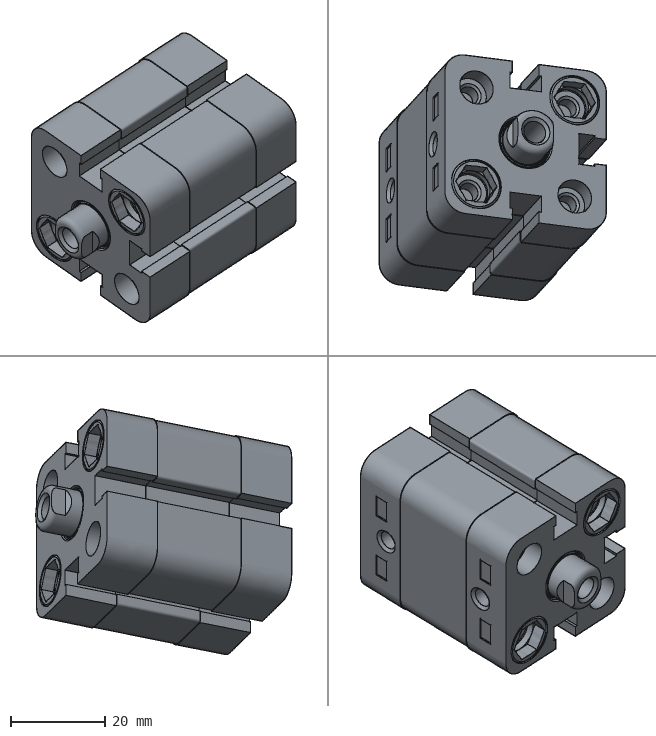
import cadquery as cq
import math

BODY_LENGTH = 43.0
ROD_REACH = 6.6
CAP_LENGTH = 11.75
BARREL_LENGTH = BODY_LENGTH - 2 * CAP_LENGTH
BARREL_END = BODY_LENGTH - CAP_LENGTH

CAP_WIDTH = 36.3
CAP_CORNER = 4.55
CAP_DRAFT = 0.25
BARREL_WIDTH = 36.0
BARREL_CORNER = 4.5

CAP_SLOT_FLOOR = 11.9
BARREL_SLOT_FLOOR = 12.05
SLOT_SHOULDER = 15.5
SLOT_WIDTH = 7.0
CAP_MOUTH_WIDTH = 5.9
BARREL_MOUTH_WIDTH = 5.5
BARREL_LIP_ROUND = 0.55
SLOT_ANGLES = (0, 90, 180)

BORE_DIAMETER = 20.0
FRONT_WALL = 5.0
REAR_WALL = 6.0

ROD_DIAMETER = 10.0
ROD_END_ROUND = 1.25
FLAT_WIDTH = 8.0
FLAT_LENGTH = 3.25
ROD_HOLE_DIAMETER = 4.9
ROD_HOLE_MOUTH = 6.3
ROD_HOLE_DEPTH = 10.0
CENTRE_TIP_DIAMETER = 2.9
CENTRE_TIP_HEIGHT = 0.85

OPENING_MOUTH = 12.0
OPENING_DIAMETER = 11.4
OPENING_DEPTH = 1.5
WIPER_DIAMETER = 10.9
WIPER_FACE_DIAMETER = 10.45
WIPER_RECESS = 0.3

SCREW_OFFSET = 11.0
SCREW_RECESS_DIAMETER = 11.1
SCREW_FACE_DIAMETER = 10.25
HEX_ACROSS_FLATS = 8.0
HEX_RELIEF_DIAMETER = 8.15
HEX_DEPTH = 2.8
SOCKET_DIAMETER = 8.0
SOCKET_DEPTH = 4.5
SOCKET_FLOOR_CHAMFER = 0.2
THREAD_DIAMETER = 4.1
THREAD_MOUTH = 5.15
THREAD_DEPTH = 3.95
MOUNT_DIAMETER = 7.5
MOUNT_DEPTH = 4.5

PORT_OFFSET = 7.6
PORT_MOUTH = 5.45
PORT_DIAMETER = 4.1
PORT_FLOOR = 9.85

LABEL_LENGTH = 5.25
LABEL_WIDTH = 3.1
LABEL_OFFSET = 8.05
LABEL_DEPTH = 0.2
LABEL_END_GAP = 6.15


def plane_at(y, x=0, z=0):
    """Workplane across the cylinder axis; a negative extrusion goes towards +Y."""
    return cq.Workplane("XZ", origin=(x, y, z))


def cylinder(diameter, y_start, y_end, x=0, z=0):
    return plane_at(y_start, x, z).circle(diameter / 2).extrude(y_start - y_end)


def frustum(start_diameter, end_diameter, y_start, y_end, x=0, z=0):
    cone = cq.Solid.makeCone(
        start_diameter / 2, end_diameter / 2, y_end - y_start, cq.Vector(x, y_start, z), cq.Vector(0, 1, 0)
    )
    return cq.Workplane(obj=cone)


def countersunk_hole(mouth, diameter, depth, y, x=0, z=0):
    """Blind hole towards +Y with a 45 degree countersink."""
    sink = frustum(mouth, diameter, y, y + (mouth - diameter) / 2, x, z)
    return cylinder(diameter, y, y + depth, x, z).union(sink)


def t_slots(mouth_width, floor, y_start, y_end):
    half_mouth = mouth_width / 2
    half_slot = SLOT_WIDTH / 2
    slot = (
        plane_at(y_start)
        .moveTo(-half_slot, floor)
        .lineTo(half_slot, floor)
        .lineTo(half_slot, SLOT_SHOULDER)
        .lineTo(half_mouth, SLOT_SHOULDER)
        .lineTo(half_mouth, CAP_WIDTH)
        .lineTo(-half_mouth, CAP_WIDTH)
        .lineTo(-half_mouth, SLOT_SHOULDER)
        .lineTo(-half_slot, SLOT_SHOULDER)
        .close()
        .extrude(y_start - y_end)
    )
    slots = slot
    for angle in SLOT_ANGLES[1:]:
        slots = slots.union(slot.rotate((0, 0, 0), (0, 1, 0), angle))
    return slots


def drafted_block(joint_y, direction):
    """Rounded square that is widest at the barrel joint; direction is the way along Y."""
    profile = cq.Sketch().rect(CAP_WIDTH, CAP_WIDTH).vertices().fillet(CAP_CORNER)
    block = plane_at(0).placeSketch(profile).extrude(CAP_LENGTH, taper=CAP_DRAFT)
    if direction > 0:
        block = block.mirror("XZ")
    return block.translate((0, joint_y, 0))


def port(y):
    """Countersunk hole towards +X that just breaks into the bore."""
    face = CAP_WIDTH / 2
    length = face - PORT_FLOOR
    sink_depth = (PORT_MOUTH - PORT_DIAMETER) / 2
    x_axis = cq.Vector(1, 0, 0)
    start = cq.Vector(-face, y, 0)
    hole = cq.Solid.makeCylinder(PORT_DIAMETER / 2, length, start, x_axis)
    sink = cq.Solid.makeCone(PORT_MOUTH / 2, PORT_DIAMETER / 2, sink_depth, start, x_axis)
    return cq.Workplane(obj=hole).union(cq.Workplane(obj=sink))


def label_fields(y):
    fields = cq.Workplane("XY")
    for z in (-LABEL_OFFSET, LABEL_OFFSET):
        field = cq.Workplane("XY").box(2 * LABEL_DEPTH, LABEL_WIDTH, LABEL_LENGTH)
        fields = fields.union(field.translate((-BARREL_WIDTH / 2, y, z)))
    return fields


def cap(joint_y, direction, port_y, label_y):
    end_y = joint_y + direction * CAP_LENGTH
    block = drafted_block(joint_y, direction)
    block = block.cut(t_slots(CAP_MOUTH_WIDTH, CAP_SLOT_FLOOR, min(joint_y, end_y), max(joint_y, end_y)))
    return block.cut(port(port_y)).cut(label_fields(label_y))


def cut_screw(block, x, z):
    """Head flush with the front face: chamfered rim, hexagon socket and tapped hole."""
    rim_depth = (SCREW_RECESS_DIAMETER - SCREW_FACE_DIAMETER) / 2
    rim = frustum(SCREW_FACE_DIAMETER, SCREW_RECESS_DIAMETER, 0, rim_depth, x, z)
    groove = cylinder(SCREW_RECESS_DIAMETER, 0, rim_depth, x, z).cut(rim)
    across_corners = HEX_ACROSS_FLATS / math.cos(math.pi / 6)
    hexagon = plane_at(0, x, z).polygon(6, across_corners).extrude(-HEX_DEPTH)
    relief = cylinder(HEX_RELIEF_DIAMETER, 0, HEX_DEPTH, x, z)
    socket = cylinder(SOCKET_DIAMETER, 0, SOCKET_DEPTH, x, z)
    socket = socket.faces(">Y").chamfer(SOCKET_FLOOR_CHAMFER)
    thread = countersunk_hole(THREAD_MOUTH, THREAD_DIAMETER, THREAD_DEPTH, SOCKET_DEPTH, x, z)
    return block.cut(groove).cut(hexagon).cut(relief).cut(socket).cut(thread)


def cut_mounting_hole(block, x, z):
    """Counterbored mounting hole with a tapped hole in its floor."""
    hole = cylinder(MOUNT_DIAMETER, 0, MOUNT_DEPTH, x, z)
    thread = countersunk_hole(THREAD_MOUTH, THREAD_DIAMETER, THREAD_DEPTH, MOUNT_DEPTH, x, z)
    return block.cut(hole).cut(thread)


def rod_opening():
    """Countersunk opening round the rod, less the wiper lip that stands in it."""
    opening = countersunk_hole(OPENING_MOUTH, OPENING_DIAMETER, OPENING_DEPTH, 0)
    slope_end = WIPER_RECESS + (WIPER_DIAMETER - WIPER_FACE_DIAMETER) / 2
    slope = frustum(WIPER_FACE_DIAMETER, WIPER_DIAMETER, WIPER_RECESS, slope_end)
    wiper = cylinder(WIPER_DIAMETER, slope_end, OPENING_DEPTH).union(slope)
    return opening.cut(wiper.cut(cylinder(ROD_DIAMETER, 0, OPENING_DEPTH)))


def make_front_cap():
    front = cap(CAP_LENGTH, -1, PORT_OFFSET, LABEL_END_GAP)
    front = front.cut(cylinder(BORE_DIAMETER, FRONT_WALL, CAP_LENGTH))
    front = front.cut(cylinder(ROD_DIAMETER, 0, FRONT_WALL))
    front = front.cut(rod_opening())
    for side in (-1, 1):
        front = cut_screw(front, side * SCREW_OFFSET, side * SCREW_OFFSET)
        front = cut_mounting_hole(front, side * SCREW_OFFSET, -side * SCREW_OFFSET)
    return front


def make_barrel():
    """Slotted tube with rounded slot lips, bored right through."""
    profile = cq.Sketch().rect(BARREL_WIDTH, BARREL_WIDTH).vertices().fillet(BARREL_CORNER)
    block = plane_at(CAP_LENGTH).placeSketch(profile).extrude(-BARREL_LENGTH)
    block = block.cut(t_slots(BARREL_MOUTH_WIDTH, BARREL_SLOT_FLOOR, CAP_LENGTH, BARREL_END))
    half = BARREL_WIDTH / 2
    half_mouth = BARREL_MOUTH_WIDTH / 2
    lips = []
    for side in (-1, 1):
        for x, z in ((side * half_mouth, half), (side * half_mouth, -half), (half, side * half_mouth)):
            lips.append(cq.selectors.NearestToPointSelector((x, CAP_LENGTH + BARREL_LENGTH / 2, z)))
    selector = lips[0]
    for lip in lips[1:]:
        selector = selector + lip
    block = block.edges(selector).fillet(BARREL_LIP_ROUND)
    return block.cut(cylinder(BORE_DIAMETER, CAP_LENGTH, BARREL_END))


def make_rear_cap():
    label_y = BODY_LENGTH - LABEL_END_GAP
    rear = cap(BARREL_END, 1, BODY_LENGTH - PORT_OFFSET, label_y)
    return rear.cut(cylinder(BORE_DIAMETER, BARREL_END, BODY_LENGTH - REAR_WALL))


def make_rod():
    """Rod with wrench flats and a tapped end, in one piece with the piston."""
    tip = -ROD_REACH
    rod = cylinder(ROD_DIAMETER, tip, FRONT_WALL).faces("<Y").edges().fillet(ROD_END_ROUND)
    piston = cylinder(BORE_DIAMETER, FRONT_WALL, BODY_LENGTH - REAR_WALL)
    flat_end = tip + FLAT_LENGTH
    half_flat = FLAT_WIDTH / 2
    radius = ROD_DIAMETER / 2
    flat = (
        cq.Workplane("XY", origin=(0, 0, -radius))
        .moveTo(half_flat, tip)
        .lineTo(half_flat, flat_end)
        .lineTo(radius, flat_end + radius - half_flat)
        .lineTo(radius, tip)
        .close()
        .extrude(ROD_DIAMETER)
    )
    rod = rod.cut(flat).cut(flat.mirror("YZ")).union(piston)
    floor = tip + ROD_HOLE_DEPTH
    hole = countersunk_hole(ROD_HOLE_MOUTH, ROD_HOLE_DIAMETER, ROD_HOLE_DEPTH, tip)
    centre_tip = frustum(0, CENTRE_TIP_DIAMETER, floor - CENTRE_TIP_HEIGHT, floor)
    return rod.cut(hole.cut(centre_tip))


front_cap = make_front_cap()
barrel = make_barrel()
rear_cap = make_rear_cap()
rod = make_rod()

result = cq.Compound.makeCompound([front_cap.val(), barrel.val(), rear_cap.val(), rod.val()])